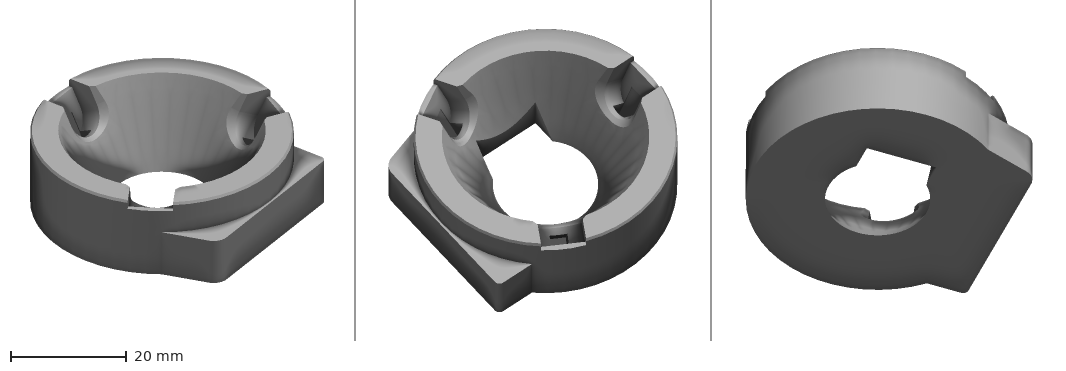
import cadquery as cq
import math

overall_length = 45.95
height = 14.7
outer_radius = 22.8
rim_radius = 17.92
bore_radius = 9.1
rim_chamfer_drop = 0.4
rim_chamfer_width = 0.3

notch_width = 13.05
notch_reach = 11.15

block_face_x = overall_length - outer_radius
block_height = 8.75
block_back_y = 16.4
block_front_x = 12.8
block_front_y = -18.75
block_slope = 17.5
block_back_fillet = 1.0
block_front_fillet = 2.75

seat_angles = (60, 180, 300)
seat_width = 7.85
seat_length = 7.68
seat_tilt = 27.0
seat_top_radius = 21.75
seat_sill_depth = 1.6
seat_sill_z = height - seat_sill_depth
seat_flare_start = 3.95
seat_flare_depth = 2.75

recess_width = 3.13
recess_start = 3.55
recess_end = 12.1
recess_sink = 0.2
recess_rise = 2.65

overcut = 9.2


def make_ring():
    profile = [
        (bore_radius, 0),
        (outer_radius, 0),
        (outer_radius, height - rim_chamfer_drop),
        (outer_radius - rim_chamfer_width, height),
        (rim_radius, height),
    ]
    return cq.Workplane("XZ").polyline(profile).close().revolve(360, (0, 0, 0), (0, 1, 0))


def make_block():
    """Block with a slanted front face; its hidden side lies inside the ring wall."""
    slope = math.tan(math.radians(block_slope))
    corner_y = block_front_y + (block_face_x - block_front_x) * slope
    outline = [
        (block_front_x, block_front_y),
        (block_face_x, corner_y),
        (block_face_x, block_back_y),
        (block_front_x, block_back_y),
    ]
    block = cq.Workplane("XY").polyline(outline).close().extrude(block_height)
    block = block.edges("|Z and >X and >Y").fillet(block_back_fillet)
    front_corner = cq.selectors.NearestToPointSelector((block_face_x, corner_y, block_height / 2))
    block = block.edges(front_corner).fillet(block_front_fillet)
    bore_clearance = cq.Workplane("XY").circle(rim_radius).extrude(block_height)
    return block.cut(bore_clearance)


def u_outline(plane):
    """U shape open up the slope, with its round end down the slope."""
    radius = seat_width / 2
    end_center = radius - seat_length
    return (
        plane.moveTo(-radius, overcut)
        .lineTo(-radius, end_center)
        .threePointArc((0, -seat_length), (radius, end_center))
        .lineTo(radius, overcut)
        .close()
    )


def make_seat_cutter():
    """Cutter for a seat on the +X side; local Y runs up the slope, local Z toward the axis."""
    tilt = math.radians(seat_tilt)
    floor = cq.Workplane(
        cq.Plane(
            origin=(seat_top_radius, 0, seat_sill_z),
            xDir=(0, -1, 0),
            normal=(-math.cos(tilt), 0, math.sin(tilt)),
        )
    )
    pocket = u_outline(floor).extrude(seat_flare_start + seat_flare_depth)
    flare_plane = floor.workplane(offset=seat_flare_start)
    flare = u_outline(flare_plane).extrude(seat_flare_depth, taper=-45)
    recess = (
        floor.workplane(offset=-recess_sink)
        .center(0, -(recess_start + recess_end) / 2)
        .rect(recess_width, recess_end - recess_start)
        .extrude(recess_sink + recess_rise)
    )
    sill = cq.Workplane("XY").box(overcut, seat_width, overcut, centered=(False, True, False))
    sill = sill.translate((seat_top_radius, 0, seat_sill_z))
    return pocket.union(flare).union(recess).union(sill)


notch = cq.Workplane("XY").box(notch_width, notch_reach, height, centered=(True, False, False))
notch = notch.translate((0, -notch_reach, 0))

result = make_ring().union(make_block()).cut(notch)
seat_cutter = make_seat_cutter()
for angle in seat_angles:
    result = result.cut(seat_cutter.rotate((0, 0, 0), (0, 0, 1), angle))